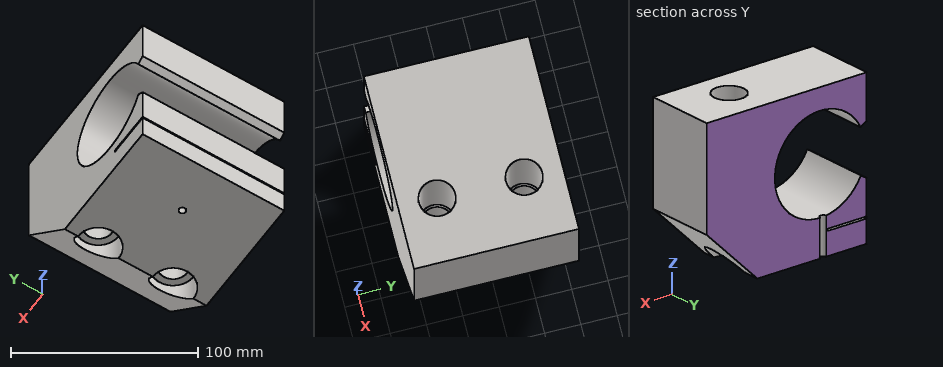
import cadquery as cq
import math

length = 110.0
width = 91.0
height = 100.0
corner_chamfer = 35.0

bore_diameter = 62.0
bore_x = 31.9
bore_z = 55.0
mouth_height = 33.0
throat_height = 27.8

slit_depth = 26.7
slit_thickness = 1.0
slit_floor_z = 15.0

bolt_x = 75.0
bolt_spacing = 48.0
bolt_hole_diameter = 17.5
bolt_clearance_diameter = 20.0
bolt_clearance_depth = height / 2
spotface_diameter = 26.0
spotface_z = 20.0

drain_diameter = 4.0
drain_x = 30.0

mid_y = width / 2


def make_block():
    """Rectangular block with its lower back corner cut at 45 degrees."""
    return (
        cq.Workplane("XY")
        .box(length, width, height, centered=False)
        .edges("|Y and >X and <Z")
        .chamfer(corner_chamfer)
    )


def make_bore():
    """Cylinder with a mouth that flares out to the X = 0 face."""
    bore = (
        cq.Workplane("XZ", origin=(bore_x, 0, bore_z))
        .circle(bore_diameter / 2)
        .extrude(-width)
    )
    throat_x = bore_x - math.sqrt((bore_diameter / 2) ** 2 - (throat_height / 2) ** 2)
    mouth = (
        cq.Workplane("XZ", origin=(0, 0, bore_z))
        .moveTo(0, -mouth_height / 2)
        .lineTo(throat_x, -throat_height / 2)
        .lineTo(bore_x, -throat_height / 2)
        .lineTo(bore_x, throat_height / 2)
        .lineTo(throat_x, throat_height / 2)
        .lineTo(0, mouth_height / 2)
        .close()
        .extrude(-width)
    )
    return bore.union(mouth)


def make_slit():
    """Thin horizontal cut across the full width."""
    return cq.Workplane("XY", origin=(0, 0, slit_floor_z)).box(
        slit_depth, width, slit_thickness, centered=False
    )


def vertical_cylinder(diameter, x, y, bottom_z, top_z):
    return (
        cq.Workplane("XY", origin=(x, y, bottom_z))
        .circle(diameter / 2)
        .extrude(top_z - bottom_z)
    )


def make_bolt_hole(y):
    """Through hole, wider in its upper part, with a spotface at the base."""
    through = vertical_cylinder(bolt_hole_diameter, bolt_x, y, 0, height)
    clearance = vertical_cylinder(
        bolt_clearance_diameter, bolt_x, y, height - bolt_clearance_depth, height
    )
    spotface = vertical_cylinder(spotface_diameter, bolt_x, y, 0, spotface_z)
    return through.union(clearance).union(spotface)


result = make_block().cut(make_bore()).cut(make_slit())
for side in (-1, 1):
    result = result.cut(make_bolt_hole(mid_y + side * bolt_spacing / 2))
result = result.cut(vertical_cylinder(drain_diameter, drain_x, mid_y, 0, bore_z))